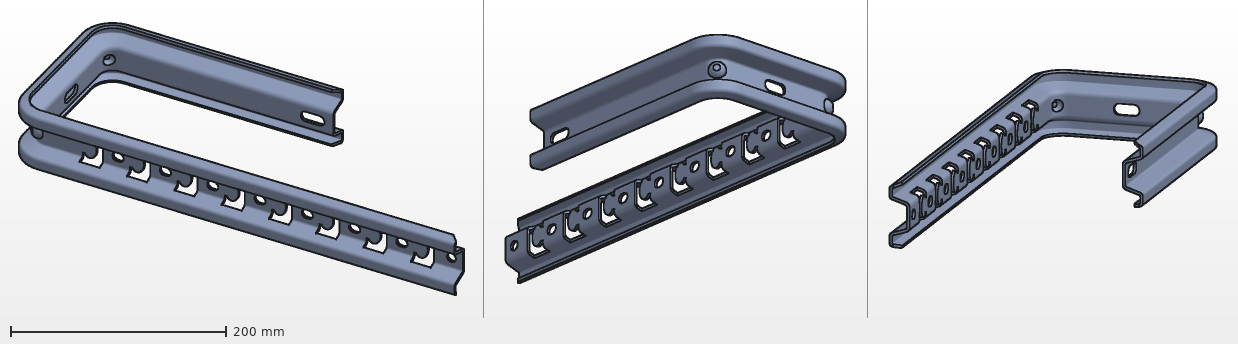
import cadquery as cq
import math

LENGTH = 474.0
WIDTH = 180.0
HEIGHT = 63.5
SHORT_LEG_END = 259.0
BEND_RADIUS = 32.0

SHEET = 3.0
CHANNEL_DEPTH = 20.0
LIP_DEPTH = 10.0
WALL_SLOPE = 18.0
FLAT_WIDTH = 12.0
LIP_FOLD_RADIUS = 4.0
WEB_FOLD_RADIUS = 2.5
LIP_CHAMFER = 6.0

CUTOUT_COUNT = 8
FIRST_CUTOUT_START = 71.5
LAST_CUTOUT_START = 422.0
CUTOUT_LENGTH = 21.5
CUTOUT_DEPTH_START = 11.0
TONGUE_LENGTH = 14.5
TONGUE_HEAD_HALF_LENGTH = 7.0
TONGUE_HEAD_HALF_HEIGHT = 10.5
TONGUE_NECK_HEIGHT = 13.7

HOLE_DIAMETER = 9.5
SMALL_SLOT_LENGTH = 12.0
SMALL_SLOT_OFFSET = 37.5
END_HOLE_INSET = 12.5
MOUNT_SLOT_LENGTH = 25.0
MOUNT_SLOT_HEIGHT = 11.0
MOUNT_SLOT_INSET = 22.0

DOME_INSET = 23.0
DOME_RADIUS = 8.5
DOME_FLAT_RADIUS = 3.5

WEB_FACE = CHANNEL_DEPTH - SHEET
CUTOUT_PITCH = (LAST_CUTOUT_START - FIRST_CUTOUT_START) / (CUTOUT_COUNT - 1)
CUTOUT_STARTS = [FIRST_CUTOUT_START + i * CUTOUT_PITCH for i in range(CUTOUT_COUNT)]


def shifted(start, end, distance):
    """Move a line sideways, to the left of its direction."""
    length = math.dist(start, end)
    dx = -(end[1] - start[1]) / length * distance
    dy = (end[0] - start[0]) / length * distance
    return (start[0] + dx, start[1] + dy), (end[0] + dx, end[1] + dy)


def crossing(line_a, line_b):
    """Point where two lines meet."""
    (ax, ay), (bx, by) = line_a
    (cx, cy), (dx, dy) = line_b
    turn = (bx - ax) * (dy - cy) - (by - ay) * (dx - cx)
    t = ((cx - ax) * (dy - cy) - (cy - ay) * (dx - cx)) / turn
    return ax + t * (bx - ax), ay + t * (by - ay)


def parallel_face(points, distance):
    """Corner points of the opposite sheet face."""
    lines = [shifted(a, b, distance) for a, b in zip(points, points[1:])]
    inner_corners = [crossing(a, b) for a, b in zip(lines, lines[1:])]
    return [lines[0][0]] + inner_corners + [lines[-1][1]]


def channel_section():
    """Closed sheet-metal section, with every fold rounded."""
    slope = math.tan(math.radians(WALL_SLOPE))
    top = HEIGHT / 2
    flat_top = top - LIP_DEPTH * slope
    flat_bottom = flat_top - FLAT_WIDTH
    web_corner = flat_bottom - WEB_FACE * slope
    upper = [(LIP_DEPTH, top), (0, flat_top), (0, flat_bottom), (WEB_FACE, web_corner)]
    outer_face = upper + [(depth, -z) for depth, z in reversed(upper)]
    inner_face = parallel_face(outer_face, SHEET)

    outer_radii = [0, LIP_FOLD_RADIUS, LIP_FOLD_RADIUS, WEB_FOLD_RADIUS]
    inner_radii = [0, LIP_FOLD_RADIUS - SHEET, LIP_FOLD_RADIUS - SHEET, WEB_FOLD_RADIUS + SHEET]
    outer_radii += outer_radii[::-1]
    inner_radii += inner_radii[::-1]
    corners = list(zip(outer_face, outer_radii)) + list(zip(inner_face, inner_radii))[::-1]
    return rounded_outline(corners)


def rounded_outline(corners):
    """Closed outline on a plane across the long leg; corners are (point, radius) pairs."""
    outline = cq.Workplane("YZ", origin=(LENGTH, 0, 0)).moveTo(*corners[0][0])
    for i, (point, radius) in enumerate(corners[1:], 1):
        if radius == 0:
            outline = outline.lineTo(*point)
            continue
        corner = cq.Vector(*point)
        back = (cq.Vector(*corners[i - 1][0]) - corner).normalized()
        ahead = (cq.Vector(*corners[i + 1][0]) - corner).normalized()
        half_angle = back.getAngle(ahead) / 2
        tangent = radius / math.tan(half_angle)
        to_middle = radius / math.sin(half_angle) - radius
        middle = corner + (back + ahead).normalized() * to_middle
        arc_start = corner + back * tangent
        arc_end = corner + ahead * tangent
        outline = outline.lineTo(arc_start.x, arc_start.y)
        outline = outline.threePointArc((middle.x, middle.y), (arc_end.x, arc_end.y))
    return outline.close()


def bent_channel():
    """The section carried along the U-shaped outer line."""
    r = BEND_RADIUS
    path = (
        cq.Workplane("XY")
        .moveTo(LENGTH, 0)
        .lineTo(r, 0)
        .tangentArcPoint((0, r), relative=False)
        .lineTo(0, WIDTH - r)
        .tangentArcPoint((r, WIDTH), relative=False)
        .lineTo(SHORT_LEG_END, WIDTH)
    )
    return channel_section().sweep(path)


def lip_chamfers(end, side, inward):
    """Cutters for the corners of both lips at one leg end."""
    tip = side + inward * LIP_DEPTH
    clearance = SHEET
    profile = [
        (end - LIP_CHAMFER - clearance, tip + inward * clearance),
        (end + clearance, tip + inward * clearance),
        (end + clearance, tip - inward * (LIP_CHAMFER + clearance)),
    ]
    lip_zone = HEIGHT / 2 - FLAT_WIDTH / 2
    upper = cq.Workplane("XY").workplane(offset=lip_zone).polyline(profile).close().extrude(HEIGHT)
    return upper.union(upper.mirror("XY"))


def web_sheet_plane():
    """Plane on the outer web face of the long leg, extruding into the sheet for negative lengths."""
    return cq.Workplane("XZ", origin=(0, WEB_FACE, 0))


def cutout(start):
    """Gap across the web and the adjoining part of both side walls."""
    return cq.Workplane("XY", origin=(start, CUTOUT_DEPTH_START, 0)).box(
        CUTOUT_LENGTH, CHANNEL_DEPTH, HEIGHT, centered=(False, False, True))


def tongue(start):
    """Oval-headed tongue left standing in a cut-out, flush with the web."""
    head_centre = start + TONGUE_LENGTH - TONGUE_HEAD_HALF_LENGTH
    head = web_sheet_plane().center(head_centre, 0).ellipse(
        TONGUE_HEAD_HALF_LENGTH, TONGUE_HEAD_HALF_HEIGHT).extrude(-SHEET)
    neck = web_sheet_plane().center((start + head_centre) / 2, 0).rect(
        head_centre - start, TONGUE_NECK_HEIGHT).extrude(-SHEET)
    return head.union(neck)


def pressed_dome(y, inward):
    """Solid and hollow of a flat-topped dome facing diagonally out of one corner."""
    plane = cq.Plane(origin=(DOME_INSET, y, 0), xDir=(0, 0, 1), normal=(-1, -inward, 0))
    flat_distance = math.sqrt(DOME_RADIUS ** 2 - DOME_FLAT_RADIUS ** 2)

    def dome(radius, height):
        ball = cq.Workplane(plane).sphere(radius)
        keep = cq.Workplane(plane).circle(2 * radius).extrude(height)
        return ball.intersect(keep)

    hollow_radius = DOME_RADIUS - SHEET
    opening = cq.Workplane(plane).circle(hollow_radius).extrude(-SHEET)
    hollow = dome(hollow_radius, flat_distance - SHEET).union(opening)
    return dome(DOME_RADIUS, flat_distance), hollow


bracket = bent_channel()

bracket = bracket.cut(lip_chamfers(LENGTH, 0, 1))
bracket = bracket.cut(lip_chamfers(SHORT_LEG_END, WIDTH, -1))

for cutout_start in CUTOUT_STARTS:
    bracket = bracket.cut(cutout(cutout_start)).union(tongue(cutout_start))

slot_centres = [(start + SMALL_SLOT_OFFSET, 0) for start in CUTOUT_STARTS[:-1]]
small_slots = web_sheet_plane().pushPoints(slot_centres).slot2D(SMALL_SLOT_LENGTH, HOLE_DIAMETER)
bracket = bracket.cut(small_slots.extrude(CHANNEL_DEPTH, both=True))
end_hole = web_sheet_plane().center(LENGTH - END_HOLE_INSET, 0).circle(HOLE_DIAMETER / 2)
bracket = bracket.cut(end_hole.extrude(CHANNEL_DEPTH, both=True))

short_leg_slot = (
    cq.Workplane("XZ", origin=(SHORT_LEG_END - MOUNT_SLOT_INSET, WIDTH, 0))
    .slot2D(MOUNT_SLOT_LENGTH, MOUNT_SLOT_HEIGHT)
    .extrude(2 * CHANNEL_DEPTH)
)
cross_slot = (
    cq.Workplane("YZ", origin=(0, WIDTH / 2, 0))
    .slot2D(MOUNT_SLOT_LENGTH, MOUNT_SLOT_HEIGHT)
    .extrude(2 * CHANNEL_DEPTH)
)
bracket = bracket.cut(short_leg_slot).cut(cross_slot)

for dome_y, dome_inward in [(DOME_INSET, 1), (WIDTH - DOME_INSET, -1)]:
    shell, hollow = pressed_dome(dome_y, dome_inward)
    bracket = bracket.union(shell).cut(hollow)

result = bracket